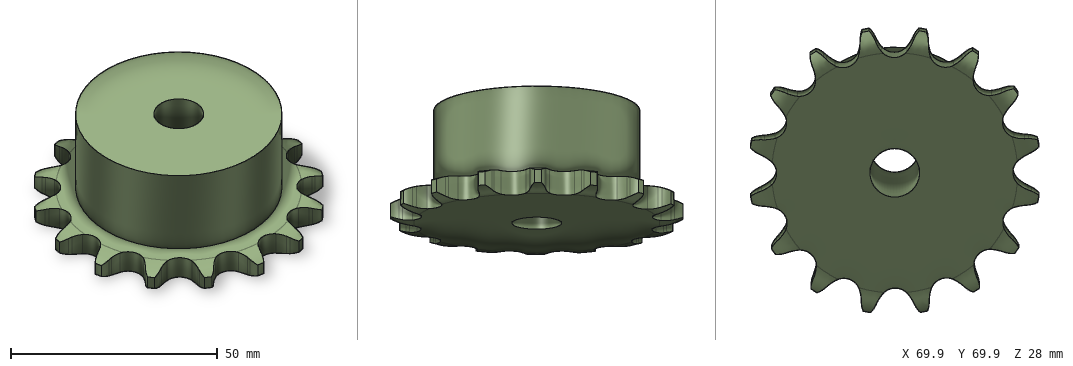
import cadquery as cq
import math

tooth_count = 16
chain_pitch = 12.7
roller_diameter = 7.77

outside_diameter = 70.9
plate_thickness = 5.9
total_height = 28.0
hub_diameter = 50.0
bore_diameter = 12.0

bevel_depth = 1.3
bevel_radius = 13.0

seat_diameter_factor = 1.005
seat_clearance = 0.0762
working_centre_factor = 0.8
topping_centre_factor = 1.4

half_tooth_angle = math.pi / tooth_count
tooth_angle = 2 * half_tooth_angle
pitch_radius = chain_pitch / (2 * math.sin(half_tooth_angle))
seat_radius = (seat_diameter_factor * roller_diameter + seat_clearance) / 2
seat_angle = math.radians(35 + 60 / tooth_count)
working_angle = math.radians(18 - 56 / tooth_count)
topping_angle = math.radians(17 - 64 / tooth_count)
working_centre_offset = working_centre_factor * roller_diameter
topping_centre_offset = topping_centre_factor * roller_diameter
working_radius = working_centre_offset + seat_radius
straight_length = (
    topping_centre_offset * math.sin(topping_angle)
    - working_centre_offset * math.sin(working_angle)
)


def move(point, distance, angle):
    """Point reached from another by a distance along a direction."""
    return (point[0] + distance * math.cos(angle), point[1] + distance * math.sin(angle))


def direction(start, end):
    """Angle of the line from one point to another."""
    return math.atan2(end[1] - start[1], end[0] - start[0])


def mirror(point):
    """Reflect a point across the centre line of the tooth gap."""
    return (-point[0], point[1])


def turn(point, angle):
    """Rotate a point about the sprocket axis."""
    x, y = point
    return (
        x * math.cos(angle) - y * math.sin(angle),
        x * math.sin(angle) + y * math.cos(angle),
    )


def right_flank():
    """Key points of one gap flank, from the root up to the pointed tooth tip.

    The gap is centred on +Y. The flank is a seating arc, a working arc,
    a short straight and a convex topping arc.
    """
    roller_centre = (0, pitch_radius)
    root = (0, pitch_radius - seat_radius)
    seat_end = move(roller_centre, seat_radius, -seat_angle)

    working_centre = move(roller_centre, -working_centre_offset, -seat_angle)
    working_end_angle = working_angle - seat_angle
    working_mid = move(working_centre, working_radius, -seat_angle + working_angle / 2)
    working_end = move(working_centre, working_radius, working_end_angle)

    straight_end = move(working_end, straight_length, working_end_angle + math.pi / 2)

    topping_centre = move(roller_centre, topping_centre_offset, -half_tooth_angle)
    topping_radius = math.dist(topping_centre, straight_end)
    chord_overshoot = topping_centre_offset - chain_pitch / 2
    tip_height = math.sqrt(topping_radius**2 - chord_overshoot**2)
    tip_radius = pitch_radius * math.cos(half_tooth_angle) + tip_height
    tip = turn((0, tip_radius), -half_tooth_angle)
    start_angle = direction(topping_centre, straight_end)
    tip_angle = direction(topping_centre, tip)
    topping_mid = move(topping_centre, topping_radius, (start_angle + tip_angle) / 2)

    return root, seat_end, working_mid, working_end, straight_end, topping_mid, tip


def toothed_prism():
    """Prism with the full tooth outline, its teeth running out to sharp points."""
    root, seat_end, working_mid, working_end, straight_end, topping_mid, tip = right_flank()
    outline = cq.Workplane("XY").moveTo(*tip)
    for index in range(tooth_count):
        angle = index * tooth_angle

        def place(point):
            return turn(point, angle)

        outline = (
            outline.threePointArc(place(topping_mid), place(straight_end))
            .lineTo(*place(working_end))
            .threePointArc(place(working_mid), place(seat_end))
            .threePointArc(place(root), place(mirror(seat_end)))
            .threePointArc(place(mirror(working_mid)), place(mirror(working_end)))
            .lineTo(*place(mirror(straight_end)))
            .threePointArc(place(mirror(topping_mid)), place(mirror(tip)))
        )
    return outline.close().extrude(plate_thickness)


def bevelled_disc():
    """Turned disc at the outside diameter, both rims rounded down tangent to the faces."""
    outside_radius = outside_diameter / 2
    bevel_angle = math.acos(1 - bevel_depth / bevel_radius)
    bevel_start = outside_radius - bevel_radius * math.sin(bevel_angle)
    mid_radius = bevel_start + bevel_radius * math.sin(bevel_angle / 2)
    mid_depth = bevel_radius * (1 - math.cos(bevel_angle / 2))
    return (
        cq.Workplane("XZ")
        .lineTo(bevel_start, 0)
        .threePointArc((mid_radius, mid_depth), (outside_radius, bevel_depth))
        .lineTo(outside_radius, plate_thickness - bevel_depth)
        .threePointArc((mid_radius, plate_thickness - mid_depth), (bevel_start, plate_thickness))
        .lineTo(0, plate_thickness)
        .close()
        .revolve(360, (0, 0, 0), (0, 1, 0))
    )


def hub():
    """Plain cylindrical hub running the full height of the part."""
    return cq.Workplane("XY").circle(hub_diameter / 2).extrude(total_height)


def bore():
    """Through bore on the axis."""
    return cq.Workplane("XY").circle(bore_diameter / 2).extrude(total_height)


sprocket_plate = toothed_prism().intersect(bevelled_disc())
result = sprocket_plate.union(hub()).cut(bore())